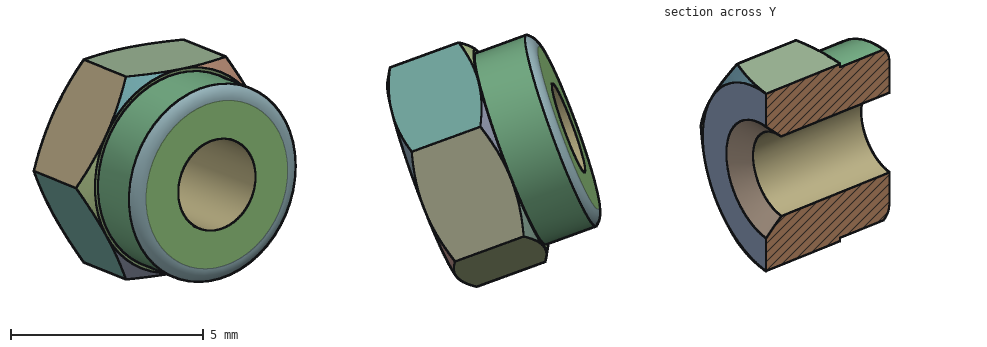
import cadquery as cq
import math

total_length = 4.0
hex_length = 2.4
across_corners = 6.35
collar_diameter = 5.3
bore_diameter = 2.46
countersink_diameter = 3.45
countersink_angle = 45.0
corner_chamfer_angle = 30.0
collar_edge_length = 0.205
collar_edge_depth = 0.4

across_flats = across_corners * math.cos(math.pi / 6)
corner_radius = across_corners / 2
flat_radius = across_flats / 2
chamfer_length = (corner_radius - flat_radius) * math.tan(math.radians(corner_chamfer_angle))
collar_radius = collar_diameter / 2
collar_edge_radius = (collar_edge_length**2 + collar_edge_depth**2) / (2 * collar_edge_length)
bore_radius = bore_diameter / 2
countersink_radius = countersink_diameter / 2
countersink_depth = (countersink_radius - bore_radius) / math.tan(math.radians(countersink_angle))


def revolve_about_x(profile):
    """Revolve a closed profile, drawn as (x, radius), about the X axis."""
    return profile.close().revolve(360, (0, 0, 0), (1, 0, 0))


def hex_head():
    """Hexagon with corners on Y, its corners turned conical at both ends."""
    prism = cq.Workplane("YZ").polygon(6, across_corners).extrude(hex_length)
    turned_envelope = revolve_about_x(
        cq.Workplane("XY")
        .lineTo(0, flat_radius)
        .lineTo(chamfer_length, corner_radius)
        .lineTo(hex_length - chamfer_length, corner_radius)
        .lineTo(hex_length, flat_radius)
        .lineTo(hex_length, 0)
    )
    return prism.intersect(turned_envelope)


def collar():
    """Round collar whose outer edge is an arc, tangent to the end face only."""
    return revolve_about_x(
        cq.Workplane("XY")
        .lineTo(0, collar_radius)
        .lineTo(total_length - collar_edge_length, collar_radius)
        .radiusArc((total_length, collar_radius - collar_edge_depth), collar_edge_radius)
        .lineTo(total_length, 0)
    )


def countersunk_bore():
    """Through bore with a conical mouth on the hexagon end."""
    return revolve_about_x(
        cq.Workplane("XY")
        .lineTo(0, countersink_radius)
        .lineTo(countersink_depth, bore_radius)
        .lineTo(total_length, bore_radius)
        .lineTo(total_length, 0)
    )


result = hex_head().union(collar()).cut(countersunk_bore())